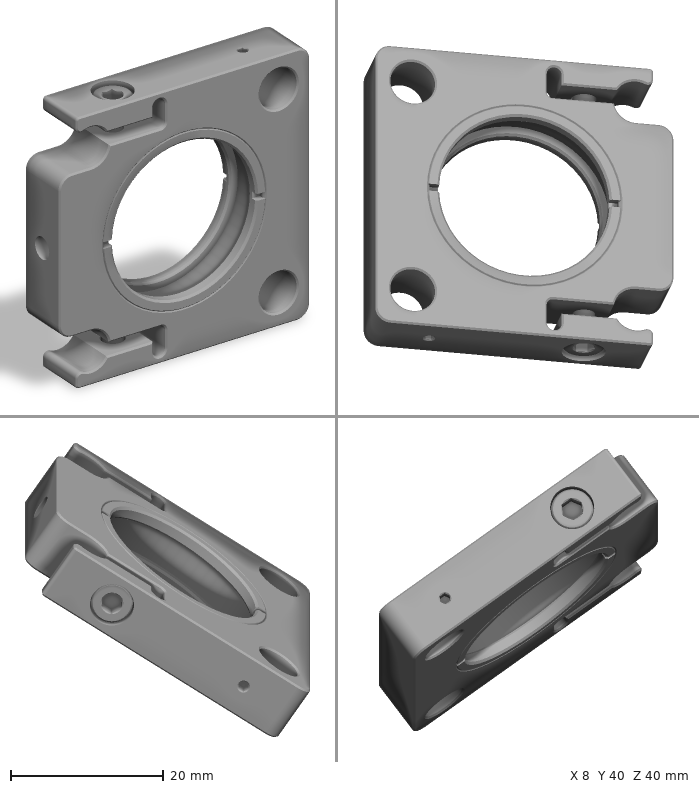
import cadquery as cq
import math

side = 40.0
half = side / 2
thickness = 8.0
face_x = thickness / 2
corner_radius = 2.0
edge_chamfer = 0.25

rod_offset = 15.0
rod_diameter = 6.0
rod_radius = rod_diameter / 2

lip_end_y = -17.3
lip_tip_radius = 0.5
lip_nose_radius = 0.75
slot_inner_z = 14.55
slot_outer_z = 16.5
slot_corner_radius = 0.8
relief_near_y = -3.0
relief_width = 2.0
relief_end_z = 19.0
step_z = rod_offset - rod_radius

bore_diameter = 25.4
bore_mouth_diameter = 26.3
bore_chamfer = (bore_mouth_diameter - bore_diameter) / 2
ring_inner_diameter = 22.9
ring_face_diameter = 25.7
ring_thickness = 1.85
ring_chamfer = 0.3
ring_slot_width = 1.0
ring_slot_depth = 1.05

clamp_y = -8.75
clamp_shank_diameter = 3.0
clamp_clearance_diameter = 3.4
clamp_head_diameter = 5.5
clamp_head_height = 2.0
clamp_head_chamfer = 0.25
clamp_head_recess = 0.55
clamp_counterbore_diameter = 5.8
clamp_tip_z = 11.2
clamp_hex_width = 2.65
clamp_hex_mouth_diameter = 3.0
clamp_hex_depth = 1.8
clamp_head_top_z = half - clamp_head_recess
clamp_seat_z = clamp_head_top_z - clamp_head_height

set_y = 12.0
set_diameter = 2.5
set_length = 2.0
set_hex_width = 1.3
set_hex_mouth_diameter = 1.7
set_hex_depth = 1.6

mount_diameter = 3.3
mount_depth = 4.0
drill_point_angle = 118.0


def cylinder(y, z, diameter, height):
    """Cylinder along +Z whose base centre is (0, y, z)."""
    return cq.Workplane("XY", origin=(0, y, z)).circle(diameter / 2).extrude(height)


def mirrored_pair(shape, plane):
    """The shape and its separate mirror image across a plane through the origin."""
    return [shape, shape.mirror(plane)]


def point_on_circle(centre_y, centre_z, radius, angle):
    """Point on a circle in the YZ plane, at an angle in degrees from +Y."""
    turn = math.radians(angle)
    return (centre_y + radius * math.cos(turn), centre_z + radius * math.sin(turn))


def saddle_point_at_height(z):
    """Point on the plate side of the open saddle, at height z."""
    return (-rod_offset + math.sqrt(rod_radius**2 - (z - rod_offset) ** 2), z)


def half_plate():
    """Upper half of the plate, bounded below by the XY plane."""
    nose_y = lip_end_y + lip_nose_radius
    nose_reach = rod_radius + lip_nose_radius
    nose_z = rod_offset + math.sqrt(nose_reach**2 - (nose_y + rod_offset) ** 2)
    nose_angle = math.degrees(math.atan2(nose_z - rod_offset, nose_y + rod_offset))
    nose_touch = point_on_circle(-rod_offset, rod_offset, rod_radius, nose_angle)
    nose_middle_angle = (180 + 180 + nose_angle) / 2

    corner = half - corner_radius
    tip_y = lip_end_y + lip_tip_radius
    tip_z = half - lip_tip_radius
    relief_radius = relief_width / 2
    relief_y = relief_near_y - relief_radius
    relief_far_y = relief_near_y - relief_width
    relief_z = relief_end_z - relief_radius
    slot_corner_y = relief_near_y - slot_corner_radius
    slot_corner_z = slot_inner_z + slot_corner_radius
    step_corner_z = step_z - corner_radius

    outline = (
        cq.Workplane("YZ", origin=(-face_x, 0, 0))
        .moveTo(half, 0)
        .lineTo(half, corner)
        .threePointArc(point_on_circle(corner, corner, corner_radius, 45), (corner, half))
        .lineTo(tip_y, half)
        .threePointArc(point_on_circle(tip_y, tip_z, lip_tip_radius, 135), (lip_end_y, tip_z))
        .lineTo(lip_end_y, nose_z)
        .threePointArc(point_on_circle(nose_y, nose_z, lip_nose_radius, nose_middle_angle), nose_touch)
        .threePointArc(
            point_on_circle(-rod_offset, rod_offset, rod_radius, 75),
            saddle_point_at_height(slot_outer_z),
        )
        .lineTo(relief_far_y, slot_outer_z)
        .lineTo(relief_far_y, relief_z)
        .threePointArc((relief_y, relief_end_z), (relief_near_y, relief_z))
        .lineTo(relief_near_y, slot_corner_z)
        .threePointArc(
            point_on_circle(slot_corner_y, slot_corner_z, slot_corner_radius, -45),
            (slot_corner_y, slot_inner_z),
        )
        .lineTo(*saddle_point_at_height(slot_inner_z))
        .threePointArc(
            point_on_circle(-rod_offset, rod_offset, rod_radius, -45),
            (-rod_offset, step_z),
        )
        .lineTo(-corner, step_z)
        .threePointArc(point_on_circle(-corner, step_corner_z, corner_radius, 135), (-half, step_corner_z))
        .lineTo(-half, 0)
        .close()
    )
    return outline.extrude(thickness)


def hole_through_plate(y, z, diameter, chamfer):
    """Cutter for a hole along X, chamfered at both faces."""
    drill = cq.Workplane("YZ", origin=(-face_x, y, z)).circle(diameter / 2).extrude(thickness)
    mouth = (
        cq.Workplane("YZ", origin=(-face_x, y, z))
        .circle(diameter / 2 + chamfer)
        .extrude(chamfer, taper=45)
    )
    return drill.union(mouth).union(mouth.mirror("YZ"))


def mounting_hole():
    """Cutter for the blind hole with a drill point, along +Y."""
    radius = mount_diameter / 2
    point_length = radius / math.tan(math.radians(drill_point_angle / 2))
    return (
        cq.Workplane("XY")
        .moveTo(0, -half)
        .lineTo(radius, -half)
        .lineTo(radius, -half + mount_depth)
        .lineTo(0, -half + mount_depth + point_length)
        .close()
        .revolve(360, (0, 0, 0), (0, 1, 0))
    )


def clamp_screw_hole():
    """Cutter for the upper clamp screw: counterbore, clearance in the lip, thread in the plate."""
    counterbore = cylinder(clamp_y, clamp_seat_z, clamp_counterbore_diameter, half - clamp_seat_z)
    clearance = cylinder(clamp_y, slot_outer_z, clamp_clearance_diameter, clamp_seat_z - slot_outer_z)
    thread = cylinder(clamp_y, clamp_tip_z, clamp_shank_diameter, slot_inner_z - clamp_tip_z)
    return counterbore.union(clearance).union(thread)


def hex_socket(y, top_z, width, mouth_diameter, depth):
    """Cutter for a hexagon socket with a 45 degree countersunk mouth."""
    corner_diameter = width / math.cos(math.radians(30))
    hexagon = (
        cq.Workplane("XY", origin=(0, y, top_z))
        .transformed(rotate=(0, 0, 30))
        .polygon(6, corner_diameter)
        .extrude(-depth)
    )
    mouth_depth = (mouth_diameter - width) / 2
    mouth = (
        cq.Workplane("XY", origin=(0, y, top_z))
        .circle(mouth_diameter / 2)
        .workplane(offset=-mouth_depth)
        .circle(width / 2)
        .loft()
    )
    return hexagon.union(mouth)


def make_housing():
    """Plate with its clamp lips, all holes and the seats for the screws and rings."""
    upper = half_plate()
    plate = upper.union(upper.mirror("XY"))
    plate = plate.faces("<X or >X").edges().chamfer(edge_chamfer)
    plate = plate.cut(hole_through_plate(0, 0, bore_diameter, bore_chamfer))
    plate = plate.cut(mounting_hole())
    for z in (-rod_offset, rod_offset):
        plate = plate.cut(hole_through_plate(rod_offset, z, rod_diameter, edge_chamfer))
    set_screw_hole = cylinder(set_y, half - set_length, set_diameter, set_length)
    for cutter in mirrored_pair(clamp_screw_hole(), "XY") + mirrored_pair(set_screw_hole, "XY"):
        plate = plate.cut(cutter)
    return plate


def make_retaining_ring():
    """Ring in the -X mouth of the bore, with two driver slots across its outer face.

    The rim flares out against the bore's chamfer. Its own outer chamfer leaves
    a shallow V-groove between the ring and the plate.
    """
    inner_radius = ring_inner_diameter / 2
    bore_radius = bore_diameter / 2
    face_radius = ring_face_diameter / 2
    groove_depth = (bore_mouth_diameter - ring_face_diameter) / 4
    inside_x = -face_x + ring_thickness
    ring = (
        cq.Workplane("XY")
        .moveTo(-face_x + ring_chamfer, inner_radius)
        .lineTo(-face_x, inner_radius + ring_chamfer)
        .lineTo(-face_x, face_radius)
        .lineTo(-face_x + groove_depth, face_radius + groove_depth)
        .lineTo(-face_x + bore_chamfer, bore_radius)
        .lineTo(inside_x, bore_radius)
        .lineTo(inside_x, inner_radius + ring_chamfer)
        .lineTo(inside_x - ring_chamfer, inner_radius)
        .close()
        .revolve(360, (0, 0, 0), (1, 0, 0))
    )
    slot_x = -face_x + ring_slot_depth / 2
    slots = cq.Workplane("XY", origin=(slot_x, 0, 0)).box(ring_slot_depth, side, ring_slot_width)
    return ring.cut(slots)


def make_clamp_screw():
    """Upper clamp screw, its head sunk in the lip and its tip in the plate."""
    shank = cylinder(clamp_y, clamp_tip_z, clamp_shank_diameter, clamp_seat_z - clamp_tip_z)
    head = cylinder(clamp_y, clamp_seat_z, clamp_head_diameter, clamp_head_height)
    head = head.faces(">Z").edges().chamfer(clamp_head_chamfer)
    socket = hex_socket(clamp_y, clamp_head_top_z, clamp_hex_width, clamp_hex_mouth_diameter, clamp_hex_depth)
    return shank.union(head).cut(socket)


def make_set_screw():
    """Upper set screw."""
    body = cylinder(set_y, half - set_length, set_diameter, set_length)
    return body.cut(hex_socket(set_y, half, set_hex_width, set_hex_mouth_diameter, set_hex_depth))


housing = make_housing()
retaining_rings = mirrored_pair(make_retaining_ring(), "YZ")
clamp_screws = mirrored_pair(make_clamp_screw(), "XY")
set_screws = mirrored_pair(make_set_screw(), "XY")

bodies = [housing] + retaining_rings + clamp_screws + set_screws
result = cq.Compound.makeCompound([body.val() for body in bodies])